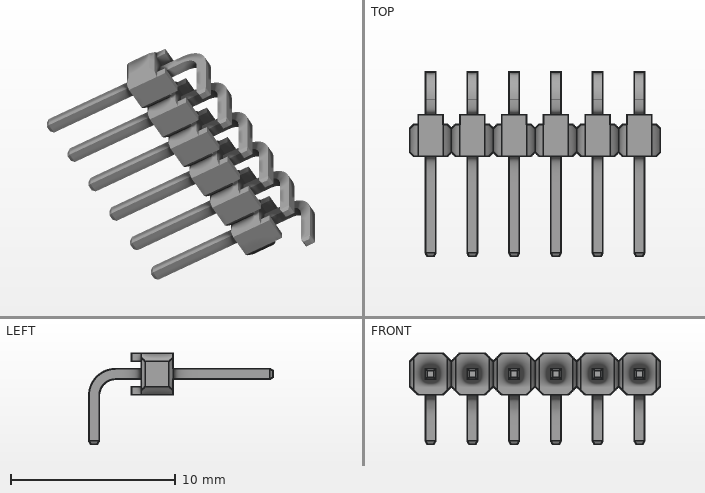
import cadquery as cq

LENGTH = 15.24
DEPTH = 11.22
HEIGHT = 5.55
CONTACT_COUNT = 6
BLOCK_DEPTH = 1.95
PIN_SIZE = 0.64
BEND_OUTER_RADIUS = 1.65
BEND_GAP = 0.95
TIP_LENGTH = 0.21
TIP_INSET = 0.12

PITCH = LENGTH / CONTACT_COUNT
CORNER_CHAMFER = PITCH / 5
EDGE_CHAMFER = PITCH / 10
LIP_DEPTH = PITCH - BLOCK_DEPTH

BEND_START = BLOCK_DEPTH + LIP_DEPTH + BEND_GAP
BEND_MID_RADIUS = BEND_OUTER_RADIUS - PIN_SIZE / 2
DROP_Y = BEND_START + BEND_MID_RADIUS
PIN_REACH = DEPTH - BEND_START - BEND_OUTER_RADIUS
PIN_DROP = HEIGHT - PITCH / 2


def make_block():
    """Octagonal insulator block with bevelled upright edges."""
    octagon = (
        cq.Workplane("XY")
        .box(PITCH, BLOCK_DEPTH, PITCH, centered=(True, False, True))
        .edges("|Y")
        .chamfer(CORNER_CHAMFER)
    )
    bevelled_plan = (
        cq.Workplane("XY")
        .box(PITCH, BLOCK_DEPTH, PITCH, centered=(True, False, True))
        .edges("|Z")
        .chamfer(EDGE_CHAMFER)
    )
    return octagon.intersect(bevelled_plan)


def make_lips():
    """Two bars behind the block, flush with its top and bottom faces."""
    lip_width = PITCH - 2 * CORNER_CHAMFER
    lip_height = CORNER_CHAMFER
    lip_y = BLOCK_DEPTH + LIP_DEPTH / 2
    lip_z = (PITCH - lip_height) / 2
    return (
        cq.Workplane("XZ", origin=(0, lip_y, 0))
        .pushPoints([(0, lip_z), (0, -lip_z)])
        .box(lip_width, lip_height, LIP_DEPTH)
    )


def make_tip_sleeve(plane, tip_centre, outward=1):
    """Waste around a tapered pin end; outward is the tip's sense along the plane normal."""
    tip_plane = cq.Workplane(plane, origin=tip_centre)
    tip_size = PIN_SIZE - 2 * TIP_INSET
    stock = tip_plane.rect(PIN_SIZE, PIN_SIZE).extrude(-outward * TIP_LENGTH)
    taper = (
        tip_plane.rect(tip_size, tip_size)
        .workplane(offset=-outward * TIP_LENGTH)
        .rect(PIN_SIZE, PIN_SIZE)
        .loft(ruled=True)
    )
    return stock.cut(taper)


def make_pin():
    """Square pin bent down behind the block, tapered at both ends."""
    path = (
        cq.Workplane("YZ")
        .moveTo(-PIN_REACH, 0)
        .lineTo(BEND_START, 0)
        .radiusArc((DROP_Y, -BEND_MID_RADIUS), BEND_MID_RADIUS)
        .lineTo(DROP_Y, -PIN_DROP)
    )
    section = cq.Workplane("XZ", origin=(0, -PIN_REACH, 0)).rect(PIN_SIZE, PIN_SIZE)
    pin = section.sweep(path)

    front_tip = make_tip_sleeve("XZ", (0, -PIN_REACH, 0))
    lower_tip = make_tip_sleeve("XY", (0, DROP_Y, -PIN_DROP), -1)
    return pin.cut(front_tip).cut(lower_tip)


def make_contact():
    """One block with its lips and pin, a single solid centred on X = 0."""
    return make_block().union(make_lips()).union(make_pin())


contact = make_contact()
contacts = []
for index in range(CONTACT_COUNT):
    x = (index - (CONTACT_COUNT - 1) / 2) * PITCH
    contacts.append(contact.translate((x, 0, 0)).val())

result = cq.Compound.makeCompound(contacts)